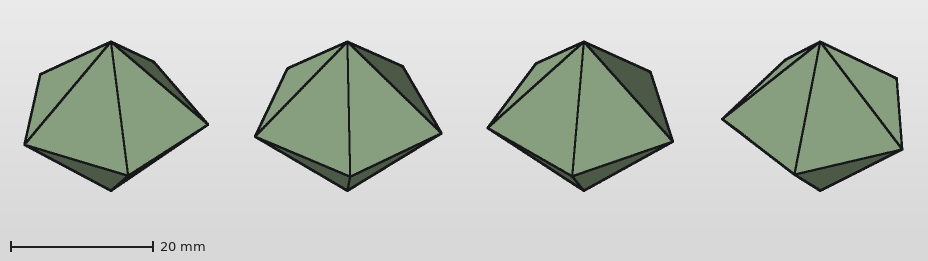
import cadquery as cq
import math

SIDES = 5
OVERALL_HEIGHT = 26.65
OVERALL_WIDTH = 26.28

APEX_HEIGHT = OVERALL_HEIGHT / 2
CORNER_STEP = 2 * math.pi / SIDES
CORNER_RADIUS = OVERALL_WIDTH / (2 * math.sin(CORNER_STEP))


def equator_corners():
    """Corners of the shared base pentagon, starting with the one on +Y."""
    angles = [math.pi / 2 + i * CORNER_STEP for i in range(SIDES)]
    return [cq.Vector(CORNER_RADIUS * math.cos(a), CORNER_RADIUS * math.sin(a), 0) for a in angles]


def flat_face(points):
    """Planar face bounded by straight edges through the points."""
    return cq.Face.makeFromWires(cq.Wire.makePolygon(points, close=True))


def half_die(apex_z):
    """Pyramid standing on the equator pentagon, with its apex on the Z axis."""
    corners = equator_corners()
    apex = cq.Vector(0, 0, apex_z)
    faces = [flat_face(corners)]
    for i in range(SIDES):
        faces.append(flat_face([corners[i], corners[(i + 1) % SIDES], apex]))
    return cq.Solid.makeSolid(cq.Shell.makeShell(faces)).fix()


upper_half = half_die(APEX_HEIGHT)
lower_half = half_die(-APEX_HEIGHT)

result = cq.Compound.makeCompound([upper_half, lower_half])